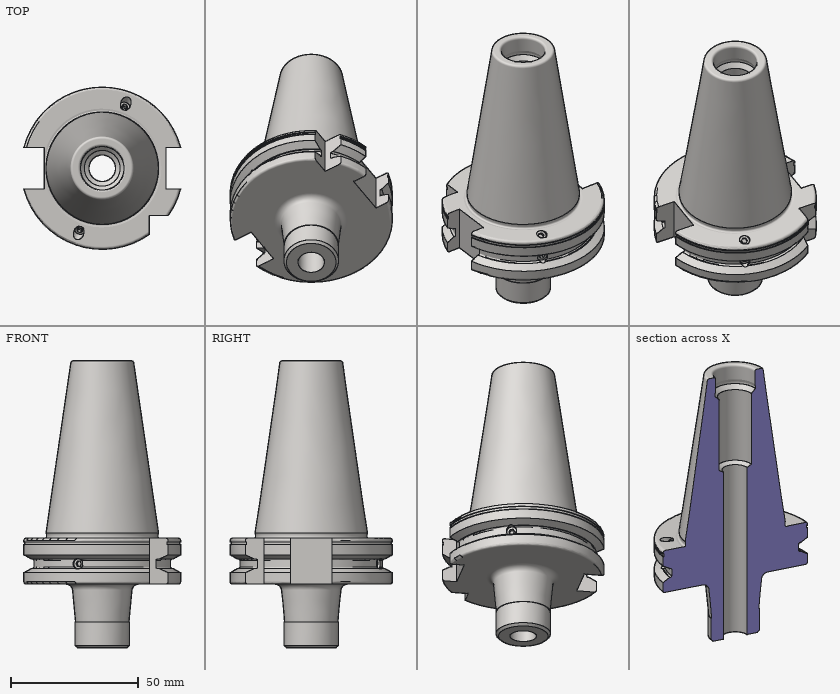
import cadquery as cq
import math

gauge_radius = 44.45 / 2
taper_ratio = 7 / 24
taper_length = 68.4
nose_projection = 44.0
taper_rim_fillet = 1.0

taper_end_z = 1.0
relief_radius = 21.87
relief_top_z = 0.3
undercut_fillet = 0.7
undercut_depth = 0.12
undercut_mouth_radius = 23.25

flange_radius = 63.55 / 2
flange_top_z = -1.0
flange_bottom_z = -19.1
flange_fillet = 1.0
v_groove_z = -11.1
v_groove_width = 7.0
v_groove_radius = 28.0
v_groove_floor_height = 3.6
v_groove_corner_fillet = 0.45
v_flank_angle = 30.0
ring_groove_top_z = -2.5
ring_groove_width = 1.1
ring_groove_depth = 0.35

neck_fillet = 2.6
neck_top_radius = 11.65
neck_bottom_radius = 10.5
nose_radius = 10.7
nose_top_z = -33.9
nose_chamfer = 1.0

bore_mouth_radius = 8.5
bore_mouth_fillet = 1.0
bore_mouth_depth = 6.3
bore_relief_radius = 8.8
bore_relief_taper_end = 7.4
bore_relief_wall_end = 8.15
centre_cone_depth = 8.45
centre_cone_half_angle = 45.0
thread_core_radius = 7.0
thread_core_depth = 40.0
drill_half_angle = 59.0
through_radius = 5.15

slot_width = 16.1
slot_floor_left = 22.8
slot_floor_right = 25.0
notch_corner = 18.5

coolant_azimuth = 20.0
coolant_pitch_radius = 27.0
coolant_tilt = 40.0
coolant_hole_diameter = 4.0
face_screw_depth = 1.8
groove_screw_depth = 1.0
socket_across_flats = 2.0
socket_depth = 1.5

clearance = 5.0


def taper_radius(z):
    return gauge_radius - z * taper_ratio / 2


def cone_height(large_radius, small_radius, half_angle):
    return (large_radius - small_radius) / math.tan(math.radians(half_angle))


def arc_middle_offset(radius):
    """Distance from either tangent line of a quarter arc to the arc's middle point."""
    return radius * (1 - math.sqrt(0.5))


def revolve_profile(profile):
    """Revolve a closed (radius, Z) outline about the Z axis."""
    return profile.close().revolve(360, (0, 0, 0), (0, 1, 0))


def taper_and_nose():
    """Taper, flange blank and nose as one turned body."""
    undercut_floor_z = flange_top_z - undercut_depth
    arc_offset = arc_middle_offset(undercut_fillet)
    neck_fillet_offset = arc_middle_offset(neck_fillet)
    profile = (
        cq.Workplane("XZ")
        .moveTo(0, taper_length)
        .lineTo(taper_radius(taper_length), taper_length)
        .lineTo(taper_radius(taper_end_z), taper_end_z)
        .lineTo(relief_radius, relief_top_z)
        .lineTo(relief_radius, undercut_floor_z + undercut_fillet)
        .threePointArc(
            (relief_radius + arc_offset, undercut_floor_z + arc_offset),
            (relief_radius + undercut_fillet, undercut_floor_z),
        )
        .lineTo(undercut_mouth_radius, flange_top_z)
        .lineTo(flange_radius, flange_top_z)
        .lineTo(flange_radius, flange_bottom_z)
        .lineTo(neck_top_radius + neck_fillet, flange_bottom_z)
        .threePointArc(
            (neck_top_radius + neck_fillet_offset, flange_bottom_z - neck_fillet_offset),
            (neck_top_radius, flange_bottom_z - neck_fillet),
        )
        .lineTo(neck_bottom_radius, nose_top_z)
        .lineTo(nose_radius, nose_top_z)
        .lineTo(nose_radius, -nose_projection + nose_chamfer)
        .lineTo(nose_radius - nose_chamfer, -nose_projection)
        .lineTo(0, -nose_projection)
    )
    body = revolve_profile(profile)
    body = body.faces(">Z").edges().fillet(taper_rim_fillet)
    rim = cq.selectors.RadiusNthSelector(-1)
    return body.edges("%CIRCLE").edges(rim).fillet(flange_fillet)


def v_groove():
    """Gripper groove ring with sloped flanks leading into a square channel with rounded corners."""
    rim_half = v_groove_width / 2
    floor_half = v_groove_floor_height / 2
    ledge_radius = flange_radius - (rim_half - floor_half) / math.tan(math.radians(v_flank_angle))
    outer = flange_radius + clearance
    profile = (
        cq.Workplane("XZ")
        .moveTo(outer, v_groove_z + rim_half)
        .lineTo(flange_radius, v_groove_z + rim_half)
        .lineTo(ledge_radius, v_groove_z + floor_half)
        .lineTo(v_groove_radius, v_groove_z + floor_half)
        .lineTo(v_groove_radius, v_groove_z - floor_half)
        .lineTo(ledge_radius, v_groove_z - floor_half)
        .lineTo(flange_radius, v_groove_z - rim_half)
        .lineTo(outer, v_groove_z - rim_half)
    )
    floor_edges = cq.selectors.RadiusNthSelector(0)
    return revolve_profile(profile).edges("%CIRCLE").edges(floor_edges).fillet(v_groove_corner_fillet)


def ring_groove():
    """Shallow square groove around the flange, near its upper rim."""
    floor_radius = flange_radius - ring_groove_depth
    return (
        cq.Workplane("XY", origin=(0, 0, ring_groove_top_z - ring_groove_width))
        .circle(flange_radius + clearance)
        .circle(floor_radius)
        .extrude(ring_groove_width)
    )


def bore():
    """Stepped bore: rounded mouth, relief groove, centring cone, thread core, through hole."""
    mouth_z = taper_length - bore_mouth_fillet
    centre_cone_height = cone_height(bore_mouth_radius, thread_core_radius, centre_cone_half_angle)
    drill_cone_height = cone_height(thread_core_radius, through_radius, drill_half_angle)
    lip_radius = bore_mouth_radius + bore_mouth_fillet
    arc_offset = arc_middle_offset(bore_mouth_fillet)
    profile = (
        cq.Workplane("XZ")
        .moveTo(0, taper_length)
        .lineTo(lip_radius, taper_length)
        .threePointArc(
            (bore_mouth_radius + arc_offset, taper_length - arc_offset),
            (bore_mouth_radius, mouth_z),
        )
        .lineTo(bore_mouth_radius, taper_length - bore_mouth_depth)
        .lineTo(bore_relief_radius, taper_length - bore_relief_taper_end)
        .lineTo(bore_relief_radius, taper_length - bore_relief_wall_end)
        .lineTo(bore_mouth_radius, taper_length - centre_cone_depth)
        .lineTo(thread_core_radius, taper_length - centre_cone_depth - centre_cone_height)
        .lineTo(thread_core_radius, taper_length - thread_core_depth)
        .lineTo(through_radius, taper_length - thread_core_depth - drill_cone_height)
        .lineTo(through_radius, -nose_projection)
        .lineTo(0, -nose_projection)
    )
    return revolve_profile(profile)


def flange_box(x_min, x_max, y_min, y_max):
    """Block over the given X and Y ranges, from the flange underside to past its top face."""
    height = flange_top_z - flange_bottom_z + clearance
    block = cq.Workplane("XY").box(x_max - x_min, y_max - y_min, height, centered=False)
    return block.translate((x_min, y_min, flange_bottom_z))


def driving_slots():
    outer = flange_radius + clearance
    half = slot_width / 2
    left = flange_box(-outer, -slot_floor_left, -half, half)
    right = flange_box(slot_floor_right, outer, -half, half)
    return left.union(right)


def orientation_notch():
    outer = flange_radius + clearance
    return flange_box(notch_corner, outer, -outer, -notch_corner)


def screw_recess(mouth_center, inward, depth):
    """Round recess in the YZ plane ending in a flat screw face with a hexagon socket."""
    floor = mouth_center + inward * depth
    sideways = cq.Vector(1, 0, 0).cross(inward)
    plane = cq.Workplane(cq.Plane(origin=floor, xDir=sideways, normal=inward * -1))
    recess = plane.circle(coolant_hole_diameter / 2).extrude(depth + clearance)
    socket = plane.polygon(6, socket_across_flats, circumscribed=True).extrude(-socket_depth)
    return recess.union(socket)


def coolant_holes():
    """Two opposite pairs: a tilted hole in the flange face, a radial one in the V groove."""
    tilt = math.radians(coolant_tilt)
    face_center = cq.Vector(0, -coolant_pitch_radius, flange_top_z)
    face_inward = cq.Vector(0, math.sin(tilt), -math.cos(tilt))
    face_hole = screw_recess(face_center, face_inward, face_screw_depth)
    groove_center = cq.Vector(0, -v_groove_radius, v_groove_z)
    groove_hole = screw_recess(groove_center, cq.Vector(0, 1, 0), groove_screw_depth)
    pair = face_hole.union(groove_hole).rotate((0, 0, 0), (0, 0, 1), -coolant_azimuth)
    return pair.union(pair.rotate((0, 0, 0), (0, 0, 1), 180))


result = (
    taper_and_nose()
    .cut(v_groove())
    .cut(ring_groove())
    .cut(bore())
    .cut(driving_slots())
    .cut(orientation_notch())
    .cut(coolant_holes())
)